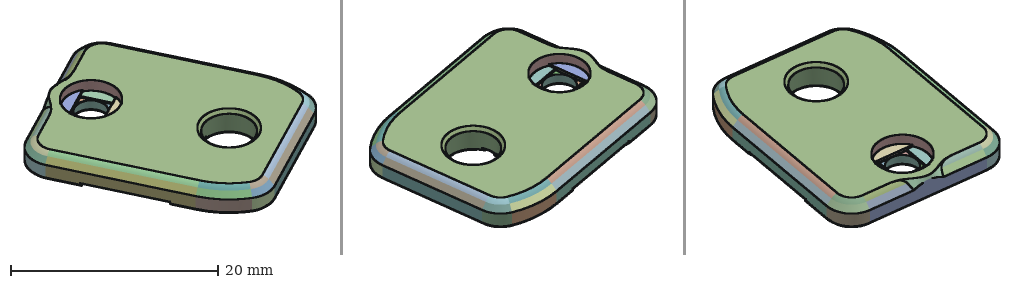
import cadquery as cq
import math

length = 25.0
width = 20.0
thickness = 3.0
corner_radius = 3.0

bottom_chamfer = 0.45
wall_top = 2.0
top_edge_radius = 1.62
planed_height = 0.08
top_chamfer = thickness + planed_height - wall_top

hole_x = 18.32
hole_diameter = 5.4
hole_chamfer = 0.38
end_radius = width / 2

screw_x = 4.25
screw_diameter = 3.4
counterbore_diameter = 6.0
counterbore_depth = 1.12
bridge_step = 0.18

channel_start = 6.5
channel_end = 15.68
channel_depth = 0.62

lobe_depth = 1.22
lobe_top_tip_x = 0.08
lobe_top_flank = (0.68, 1.75)
lobe_top_half_width = 3.55
lobe_foot_tip_x = -0.08
lobe_foot_flank = (0.0, 1.75)
lobe_foot_half_width = 4.0


def plate_outline():
    """Rounded left corners; the right end follows an arc about the plain hole."""
    half = width / 2
    r = corner_radius
    diagonal = r * math.sqrt(0.5)
    center_x = length - r
    center_y = math.sqrt((end_radius - r) ** 2 - (center_x - hole_x) ** 2)
    angle = math.atan2(center_y, center_x - hole_x)

    def on_end_arc(a):
        return hole_x + end_radius * math.cos(a), end_radius * math.sin(a)

    def on_corner(a):
        return center_x + r * math.cos(a), center_y + r * math.sin(a)

    def mirrored(point):
        return point[0], -point[1]

    end_middle = on_end_arc((angle + math.pi / 2) / 2)
    end_finish = on_end_arc(angle)
    corner_middle = on_corner(angle / 2)
    corner_finish = on_corner(0)
    return (
        cq.Workplane("XY")
        .moveTo(r, half)
        .lineTo(hole_x, half)
        .threePointArc(end_middle, end_finish)
        .threePointArc(corner_middle, corner_finish)
        .lineTo(*mirrored(corner_finish))
        .threePointArc(mirrored(corner_middle), mirrored(end_finish))
        .threePointArc(mirrored(end_middle), (hole_x, -half))
        .lineTo(r, -half)
        .threePointArc((r - diagonal, -half + r - diagonal), (0, -half + r))
        .lineTo(0, half - r)
        .threePointArc((r - diagonal, half - r + diagonal), (r, half))
        .close()
    )


def make_plate():
    plate = plate_outline().extrude(thickness + planed_height)
    plate = plate.faces("<Z").chamfer(bottom_chamfer)
    plate = plate.faces(">Z").chamfer(top_chamfer)
    plate = plate.faces(">Z").edges().fillet(top_edge_radius)
    return plate.intersect(plate_outline().extrude(thickness))


def lobe_section(height, tip_x, flank, half_width):
    """Smooth nose pointing to -X that blends into the edge, closed inside the plate."""
    flank_x, flank_y = flank
    nose = [(flank_x, flank_y), (tip_x, 0), (flank_x, -flank_y), (lobe_depth, -half_width)]
    return (
        cq.Workplane("XY", origin=(0, 0, height))
        .moveTo(corner_radius, half_width)
        .lineTo(lobe_depth, half_width)
        .spline(nose, tangents=[(0, -1), (0, -1)], includeCurrent=True)
        .lineTo(corner_radius, -half_width)
        .close()
        .val()
    )


def make_lobe():
    foot = lobe_section(wall_top, lobe_foot_tip_x, lobe_foot_flank, lobe_foot_half_width)
    top = lobe_section(thickness, lobe_top_tip_x, lobe_top_flank, lobe_top_half_width)
    lobe = cq.Workplane(cq.Solid.makeLoft([foot, top], True))
    return lobe.intersect(plate_outline().extrude(thickness))


def flare(x, z, start_radius, end_radius):
    """45 degree cone about a hole axis, rising from height z."""
    height = abs(end_radius - start_radius)
    return cq.Workplane(cq.Solid.makeCone(start_radius, end_radius, height, cq.Vector(x, 0, z)))


def plain_hole_cutter():
    radius = hole_diameter / 2
    hole = cq.Workplane("XY").center(hole_x, 0).circle(radius).extrude(thickness)
    top_flare = flare(hole_x, thickness - hole_chamfer, radius, radius + hole_chamfer)
    return hole.union(top_flare).union(flare(hole_x, 0, radius + bottom_chamfer, radius))


def screw_hole_cutter():
    seat = thickness - counterbore_depth
    base = cq.Workplane("XY").center(screw_x, 0)
    hole = base.circle(screw_diameter / 2).extrude(thickness)
    counterbore = base.workplane(offset=seat).circle(counterbore_diameter / 2).extrude(counterbore_depth)
    strip = (
        base.workplane(offset=seat - bridge_step)
        .rect(screw_diameter, counterbore_diameter)
        .extrude(bridge_step)
        .intersect(base.circle(counterbore_diameter / 2).extrude(thickness))
    )
    square = (
        base.workplane(offset=seat - 2 * bridge_step)
        .rect(screw_diameter, screw_diameter)
        .extrude(bridge_step)
    )
    radius = screw_diameter / 2
    bottom_flare = flare(screw_x, 0, radius + bottom_chamfer, radius)
    return hole.union(bottom_flare).union(counterbore).union(strip).union(square)


def channel_cutter():
    return cq.Workplane("XY").box(
        channel_end - channel_start, width, channel_depth, centered=(False, True, False)
    ).translate((channel_start, 0, 0))


result = (
    make_plate()
    .union(make_lobe())
    .cut(plain_hole_cutter())
    .cut(screw_hole_cutter())
    .cut(channel_cutter())
)